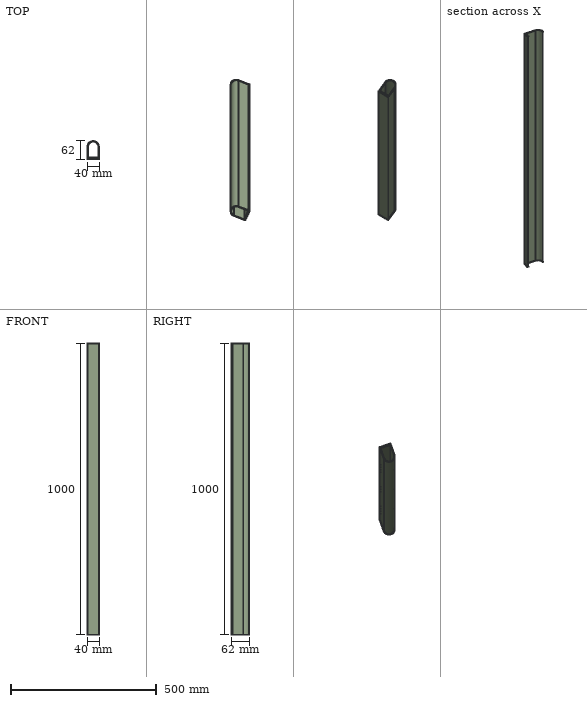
import cadquery as cq
import math

LENGTH = 1000.0
WIDTH = 40.0
DEPTH = 62.0
WALL = 2.5
FLOOR = 5.5
SEAM_GAP = 0.2

OUTER_RADIUS = WIDTH / 2
INNER_RADIUS = OUTER_RADIUS - WALL
FRONT_Y = -DEPTH / 2
BACK_Y = DEPTH / 2
ARCH_CENTER_Y = BACK_Y - OUTER_RADIUS
BOTTOM_Z = -LENGTH / 2


def make_channel():
    """U-shaped channel with a thick floor, open towards +Y."""
    outline = [
        (-OUTER_RADIUS, FRONT_Y),
        (OUTER_RADIUS, FRONT_Y),
        (OUTER_RADIUS, ARCH_CENTER_Y),
        (INNER_RADIUS, ARCH_CENTER_Y),
        (INNER_RADIUS, FRONT_Y + FLOOR),
        (-INNER_RADIUS, FRONT_Y + FLOOR),
        (-INNER_RADIUS, ARCH_CENTER_Y),
        (-OUTER_RADIUS, ARCH_CENTER_Y),
    ]
    return cq.Workplane("XY", origin=(0, 0, BOTTOM_Z)).polyline(outline).close().extrude(LENGTH)


def make_cover():
    """Half-round cover over the channel, trimmed flat just clear of the channel walls."""
    outer_x = math.sqrt(OUTER_RADIUS**2 - SEAM_GAP**2)
    inner_x = math.sqrt(INNER_RADIUS**2 - SEAM_GAP**2)
    return (
        cq.Workplane("XY", origin=(0, ARCH_CENTER_Y, BOTTOM_Z))
        .moveTo(outer_x, SEAM_GAP)
        .threePointArc((0, OUTER_RADIUS), (-outer_x, SEAM_GAP))
        .lineTo(-inner_x, SEAM_GAP)
        .threePointArc((0, INNER_RADIUS), (inner_x, SEAM_GAP))
        .close()
        .extrude(LENGTH)
    )


channel = make_channel()
cover = make_cover()

result = cq.Compound.makeCompound([channel.val(), cover.val()])